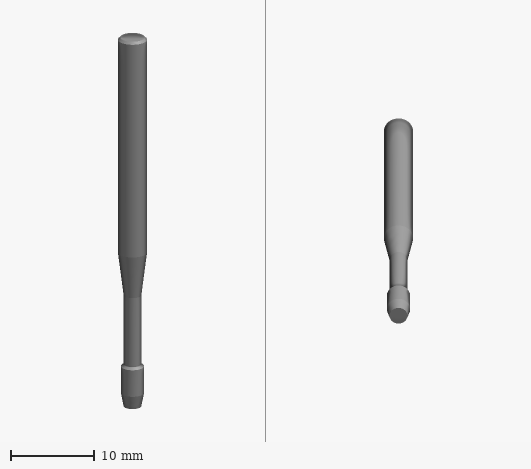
import cadquery as cq

total_length = 47.6
shank_bottom = 19.85
neck_top = 14.35
head_length = 5.45
tip_taper_length = 1.7

shank_diameter = 3.5
neck_diameter = 2.15
head_diameter = 2.8
tip_diameter = 2.15

shank_chamfer = 0.3
shoulder_width = (head_diameter - neck_diameter) / 2
shoulder_height = 0.3


def revolve_profile(outer_points):
    """Revolve (radius, height) points, closed along the Z axis, into a solid."""
    bottom = outer_points[0][1]
    top = outer_points[-1][1]
    points = [(0, bottom), *outer_points, (0, top)]
    return cq.Workplane("XZ").polyline(points).close().revolve(360, (0, 0), (0, 1))


def make_shank():
    """Chamfered cylindrical shank that narrows through a cone to the neck."""
    shank_radius = shank_diameter / 2
    neck_radius = neck_diameter / 2
    return revolve_profile([
        (neck_radius, head_length),
        (neck_radius, neck_top),
        (shank_radius, shank_bottom),
        (shank_radius, total_length - shank_chamfer),
        (shank_radius - shank_chamfer, total_length),
    ])


def make_head():
    """Working head with a tapered tip and a sloping shoulder up to the neck."""
    head_radius = head_diameter / 2
    return revolve_profile([
        (tip_diameter / 2, 0),
        (head_radius, tip_taper_length),
        (head_radius, head_length - shoulder_height),
        (head_radius - shoulder_width, head_length),
    ])


shank = make_shank()
head = make_head()

result = cq.Compound.makeCompound([shank.val(), head.val()])